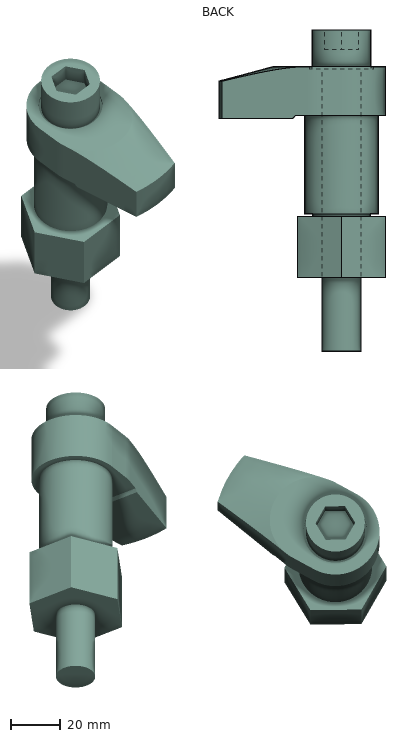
import cadquery as cq
import math

screw_length = 131.0
nut_bottom = 30.0
nut_height = 25.0
collar_height = 1.0
sleeve_height = 40.0
arm_height = 20.0
nut_top = nut_bottom + nut_height
sleeve_bottom = nut_top + collar_height
arm_bottom = sleeve_bottom + sleeve_height
arm_top = arm_bottom + arm_height

shank_diameter = 16.0
head_diameter = 24.0
head_height = 16.0
socket_across_flats = 14.0
socket_depth = 8.0
head_bottom = screw_length - head_height

nut_across_flats = 36.0
collar_diameter = 23.5

sleeve_diameter = 30.0
arm_radius = 18.0
nose_center_x = 10.0
side_taper = 10.5
tip_radius = 50.0
top_slope = 15.0
counterbore_diameter = 26.0
pad_start_x = 20.0
pad_height = 1.2


def hex_prism(across_flats, height, base_z):
    """Hexagonal prism with two flats facing -X and +X."""
    across_corners = across_flats / math.cos(math.radians(30))
    return (
        cq.Workplane("XY", origin=(0, 0, base_z))
        .transformed(rotate=(0, 0, 30))
        .polygon(6, across_corners)
        .extrude(height)
    )


def cylinder(diameter, bottom, top):
    """Cylinder on the screw axis between two heights."""
    return cq.Workplane("XY", origin=(0, 0, bottom)).circle(diameter / 2).extrude(top - bottom)


def arm_plan(base_z, height):
    """Arm outline: round end, short flats, arcs into tapered sides, arc tip."""
    taper = math.radians(side_taper)

    def nose_point(angle):
        return (nose_center_x + arm_radius * math.sin(angle), arm_radius * math.cos(angle))

    taper_x, taper_y = nose_point(taper)
    arc_middle_x, arc_middle_y = nose_point(taper / 2)

    line_distance = arm_radius + nose_center_x * math.sin(taper)
    tip_angle = math.pi / 2 - taper - math.acos(line_distance / tip_radius)
    tip_x = tip_radius * math.cos(tip_angle)
    tip_y = tip_radius * math.sin(tip_angle)

    return (
        cq.Workplane("XY", origin=(0, 0, base_z))
        .moveTo(0, arm_radius)
        .lineTo(nose_center_x, arm_radius)
        .threePointArc((arc_middle_x, arc_middle_y), (taper_x, taper_y))
        .lineTo(tip_x, tip_y)
        .threePointArc((tip_radius, 0), (tip_x, -tip_y))
        .lineTo(taper_x, -taper_y)
        .threePointArc((arc_middle_x, -arc_middle_y), (nose_center_x, -arm_radius))
        .lineTo(0, -arm_radius)
        .threePointArc((-arm_radius, 0), (0, arm_radius))
        .close()
        .extrude(height)
    )


def pad_relief():
    """Space under the arm, up to the 45 degree step where the clamping pad starts."""
    pad_bottom = arm_bottom - pad_height
    back = -2 * arm_radius
    return (
        cq.Workplane("XZ")
        .moveTo(back, pad_bottom)
        .lineTo(pad_start_x, pad_bottom)
        .lineTo(pad_start_x - pad_height, arm_bottom)
        .lineTo(back, arm_bottom)
        .close()
        .extrude(2 * arm_radius, both=True)
    )


def nose_clearance():
    """Half ring above the nose, whose conical underside starts at the arm radius and falls outwards."""
    drop = (tip_radius - arm_radius) * math.tan(math.radians(top_slope))
    return (
        cq.Workplane("YZ", origin=(nose_center_x, 0, arm_top))
        .moveTo(-arm_radius, 0)
        .lineTo(-tip_radius, -drop)
        .lineTo(-tip_radius, 0)
        .close()
        .revolve(180, (0, 0, 0), (0, 1, 0))
    )


def make_clamp_arm():
    plan = arm_plan(arm_bottom - pad_height, arm_height + pad_height)
    arm = plan.cut(pad_relief()).cut(nose_clearance())
    arm = arm.union(cylinder(sleeve_diameter, sleeve_bottom, arm_bottom))
    arm = arm.cut(cylinder(shank_diameter, sleeve_bottom, arm_top))
    return arm.cut(cylinder(counterbore_diameter, head_bottom, arm_top))


def make_nut():
    nut = hex_prism(nut_across_flats, nut_height, nut_bottom)
    nut = nut.union(cylinder(collar_diameter, nut_top, sleeve_bottom))
    return nut.cut(cylinder(shank_diameter, nut_bottom, sleeve_bottom))


def make_screw():
    shank = cylinder(shank_diameter, 0, head_bottom)
    head = cylinder(head_diameter, head_bottom, screw_length)
    socket = hex_prism(socket_across_flats, socket_depth, screw_length - socket_depth)
    return shank.union(head).cut(socket)


clamp_arm = make_clamp_arm()
nut = make_nut()
screw = make_screw()

result = cq.Compound.makeCompound([clamp_arm.val(), nut.val(), screw.val()])